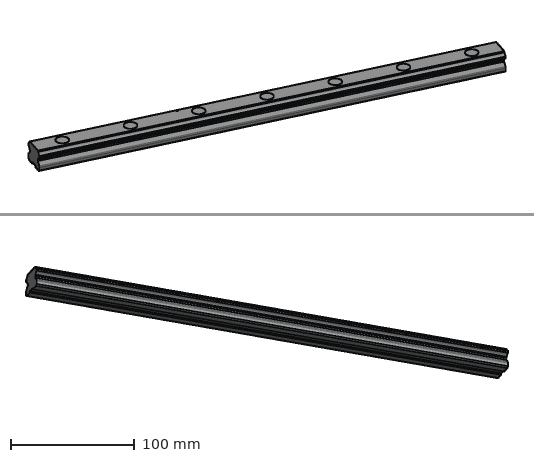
import cadquery as cq

rail_length = 410.0
rail_width = 23.0
rail_height = 18.0
half_width = rail_width / 2

head_chamfer = 1.0
head_edge_half_width = 9.0
head_top_half_width = head_edge_half_width - head_chamfer
head_edge_bottom = rail_height - head_chamfer
neck_half_width = head_edge_half_width
neck_height = 10.5
head_band_top = 14.8
head_band_bottom = 13.0
groove_sag = 0.5

waist_half_width = 8.0
waist_top = neck_height + waist_half_width - neck_half_width

foot_side_top = 5.0
waist_bottom = foot_side_top + half_width - waist_half_width
shoulder_round = 1.5
foot_chamfer = 1.2

channel_half_width = 3.3
channel_roof_half_width = 3.0
channel_depth = 1.2

cap_count = 7
cap_end_distance = 25.0
cap_pitch = (rail_length - 2 * cap_end_distance) / (cap_count - 1)
cap_diameter = 11.0
cap_recess_depth = 0.2


def make_half_rail():
    """Extrude the +X half of the rail section along Y, centred on the XZ plane."""
    section = (
        cq.Workplane("XZ")
        .moveTo(0, channel_depth)
        .lineTo(channel_roof_half_width, channel_depth)
        .lineTo(channel_half_width, 0)
        .lineTo(half_width - foot_chamfer, 0)
        .lineTo(half_width, foot_chamfer)
        .lineTo(half_width, foot_side_top)
        .lineTo(waist_half_width, waist_bottom)
        .lineTo(waist_half_width, waist_top)
        .lineTo(neck_half_width, neck_height)
        .sagittaArc((half_width, head_band_bottom), groove_sag)
        .lineTo(half_width, head_band_top)
        .sagittaArc((head_edge_half_width, head_edge_bottom), groove_sag)
        .lineTo(head_top_half_width, rail_height)
        .lineTo(0, rail_height)
        .close()
    )
    half_rail = section.extrude(rail_length / 2, both=True)
    shoulder_corner = cq.selectors.NearestToPointSelector((half_width, 0, foot_side_top))
    return half_rail.edges("|Y").edges(shoulder_corner).fillet(shoulder_round)


def make_rail():
    """Join the half rail and its mirror image into the full rail."""
    half_rail = make_half_rail()
    return half_rail.union(half_rail.mirror("YZ")).clean()


def cut_cap_recesses(rail):
    """Sink an evenly spaced row of round recesses into the top face."""
    recesses = (
        cq.Workplane("XY", origin=(0, 0, rail_height))
        .rarray(4, cap_pitch, 1, cap_count)
        .circle(cap_diameter / 2)
        .extrude(-cap_recess_depth)
    )
    return rail.cut(recesses)


result = cut_cap_recesses(make_rail())